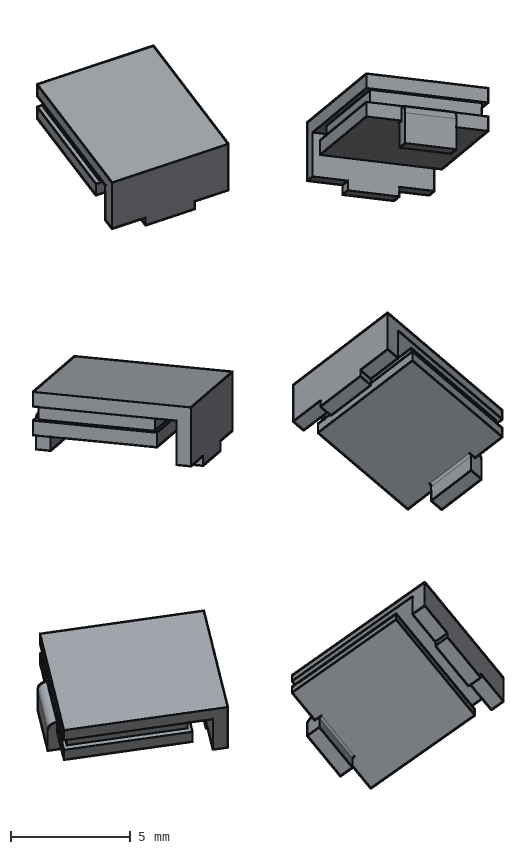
import cadquery as cq

length = 7.36
width = 5.44
height = 3.0
sheet = 0.64
plate_start = 0.4
lower_plate_length = 5.46
core_gap = 0.61
core_inset_x = 0.16
core_inset_y = 0.23
tab_width = 2.3
tab_drop = 0.43
bend_outer = 0.41
bend_inner = 0.1

upper_bottom = height - sheet
lower_top = upper_bottom - core_gap
lower_bottom = lower_top - sheet


def block(x_start, x_end, y_size, z_start, z_end):
    """Box centred on Y, given by its X and Z limits."""
    return cq.Workplane("XY").box(
        x_end - x_start, y_size, z_end - z_start, centered=(False, True, False)
    ).translate((x_start, 0, z_start))


def upper_conductor():
    """Top plate with a full-width leg ending in a narrow foot."""
    leg_start = length - sheet
    plate = block(plate_start, length, width, upper_bottom, height)
    leg = block(leg_start, length, width, tab_drop, height)
    foot = block(leg_start, length, tab_width, 0, height)
    return plate.union(leg).union(foot)


def core():
    """Inset block sandwiched between the plates."""
    core_start = plate_start + core_inset_x
    core_end = plate_start + lower_plate_length - core_inset_x
    return block(core_start, core_end, width - 2 * core_inset_y, lower_top, upper_bottom)


def lower_conductor():
    """Lower plate with a narrow terminal bent down at its left end."""
    plate = block(plate_start, plate_start + lower_plate_length, width, lower_bottom, lower_top)
    terminal = (
        cq.Workplane("XZ")
        .moveTo(0, 0)
        .lineTo(sheet, 0)
        .lineTo(sheet, lower_bottom - bend_inner)
        .radiusArc((sheet + bend_inner, lower_bottom), bend_inner)
        .lineTo(sheet + bend_inner, lower_top)
        .lineTo(bend_outer, lower_top)
        .radiusArc((0, lower_top - bend_outer), -bend_outer)
        .close()
        .extrude(tab_width / 2, both=True)
    )
    return plate.union(terminal)


result = upper_conductor().union(core()).union(lower_conductor())